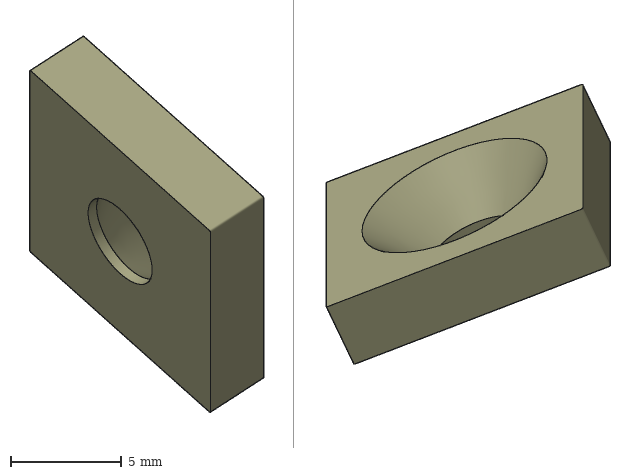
import cadquery as cq

side = 12.7
thickness = 3.18
corner_radius = 0.1

bore_diameter = 4.5
lip_depth = 0.51
mouth_diameter = 9.15

plate = cq.Workplane("XY").box(side, thickness, side).edges("|Y").fillet(corner_radius)

front = -thickness / 2
back = thickness / 2
lip_end = front + lip_depth
bore_radius = bore_diameter / 2
mouth_radius = mouth_diameter / 2
hole = (
    cq.Workplane("XY")
    .moveTo(0, front)
    .lineTo(bore_radius, front)
    .lineTo(bore_radius, lip_end)
    .lineTo(mouth_radius, back)
    .lineTo(0, back)
    .close()
    .revolve(360, (0, 0, 0), (0, 1, 0))
)

result = plate.cut(hole)